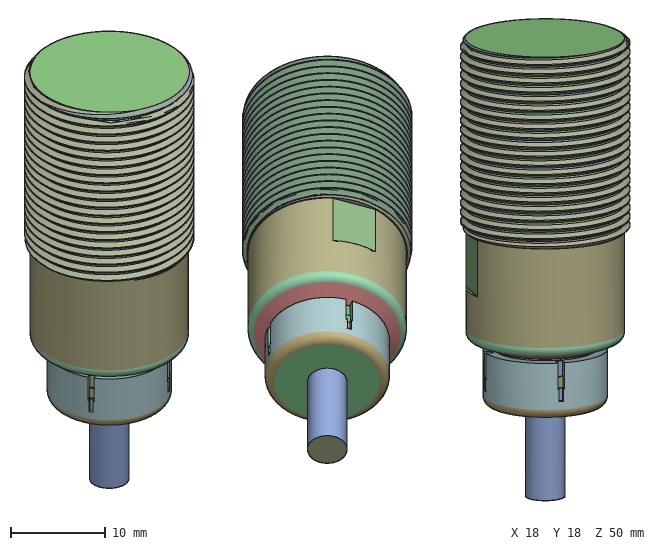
import cadquery as cq
import math

total_height = 50.0
cable_length = 10.0
collar_top = 16.1
cone_bottom = 16.3
body_fillet_bottom = 17.15
body_fillet_top = 18.2
flat_bottom = 22.8
thread_bottom = 29.05

cable_radius = 2.1
collar_radius = 6.6
neck_radius = 5.4
cone_bottom_radius = 5.6
cone_top_radius = 7.8
body_radius = 8.4
collar_fillet = 1.0

thread_radius = 9.0
pitch = 1.0
crest_width = pitch / 8
root_width = 0.2
root_overlap = 0.1
thread_chamfer = 0.5
thread_overrun = pitch
envelope_margin = 0.15
crest_height_at_x = 0.8

flat_offset = 8.05

slot_count = 4
slot_steps = [(0.7, 14.45, 0.8), (0.7, 13.25, 0.6), (0.45, 11.9, 0.4)]


def make_turned_body():
    """Cable, collar, neck, cone and plain body below the thread as one revolved outline."""
    arc_bulge = math.sqrt(0.5)
    fillet_mid = (
        cone_top_radius + (body_radius - cone_top_radius) * arc_bulge,
        body_fillet_top - (body_fillet_top - body_fillet_bottom) * arc_bulge,
    )
    collar_mid = (
        collar_radius - collar_fillet * (1 - arc_bulge),
        cable_length + collar_fillet * (1 - arc_bulge),
    )
    outline = (
        cq.Workplane("XZ")
        .moveTo(0, 0)
        .lineTo(cable_radius, 0)
        .lineTo(cable_radius, cable_length)
        .lineTo(collar_radius - collar_fillet, cable_length)
        .threePointArc(collar_mid, (collar_radius, cable_length + collar_fillet))
        .lineTo(collar_radius, collar_top)
        .lineTo(neck_radius, collar_top)
        .lineTo(neck_radius, cone_bottom)
        .lineTo(cone_bottom_radius, cone_bottom)
        .lineTo(cone_top_radius, body_fillet_bottom)
        .threePointArc(fillet_mid, (body_radius, body_fillet_top))
        .lineTo(body_radius, thread_bottom)
        .lineTo(0, thread_bottom)
        .close()
    )
    return outline.revolve(360, (0, 0, 0), (0, 1, 0))


def make_thread():
    """Right-handed external thread: a core with a helical ridge, chamfered at both ends."""
    thread_length = total_height - thread_bottom
    base = cq.Workplane("XY").workplane(offset=thread_bottom)
    core = base.circle(body_radius).extrude(thread_length)
    envelope = (
        base.circle(thread_radius + envelope_margin)
        .extrude(thread_length)
        .faces("<Z or >Z")
        .chamfer(thread_chamfer + envelope_margin)
    )

    flank_slope = (pitch - root_width - crest_width) / 2 / (thread_radius - body_radius)
    base_radius = body_radius - root_overlap
    base_half_width = (pitch - root_width) / 2 + flank_slope * root_overlap
    turns_below = math.floor((thread_bottom - thread_overrun - crest_height_at_x) / pitch)
    start = crest_height_at_x + turns_below * pitch
    helix_height = total_height + thread_overrun - start
    helix = cq.Wire.makeHelix(pitch, helix_height, base_radius, center=cq.Vector(0, 0, start))
    ridge = (
        cq.Workplane("XZ")
        .polyline(
            [
                (base_radius, start - base_half_width),
                (base_radius, start + base_half_width),
                (thread_radius, start + crest_width / 2),
                (thread_radius, start - crest_width / 2),
            ]
        )
        .close()
        .sweep(cq.Workplane(obj=helix), isFrenet=True)
    )
    return core.union(envelope.intersect(ridge, clean=False), clean=False)


def make_flat_cutter():
    """Block that leaves a flat on the +Y side, from below mid-height up to the thread."""
    flat_height = thread_bottom - flat_bottom
    block = cq.Workplane("XY").box(
        2 * body_radius, body_radius, flat_height, centered=(True, False, False)
    )
    return block.translate((0, flat_offset, flat_bottom))


def make_slot_cutter(angle):
    """One stepped slot, open at the collar top, cut radially inward at the given angle."""
    cutter = cq.Workplane("XY")
    for width, bottom, depth in slot_steps:
        step = cq.Workplane("XY").box(
            2 * depth, width, collar_top - bottom, centered=(True, True, False)
        )
        cutter = cutter.union(step.translate((collar_radius, 0, bottom)))
    return cutter.rotate((0, 0, 0), (0, 0, 1), angle)


result = make_turned_body().cut(make_flat_cutter())
for index in range(slot_count):
    result = result.cut(make_slot_cutter(index * 360 / slot_count))
result = result.union(make_thread(), clean=False)